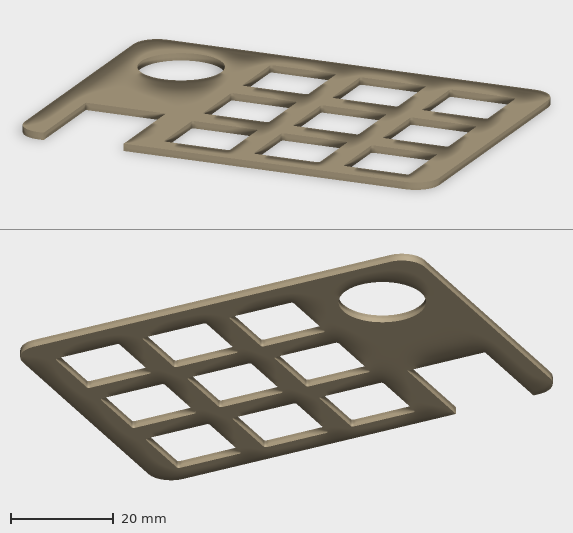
import cadquery as cq

plate_length = 88.0
plate_width = 63.0
plate_thickness = 1.5
plate_corner_radius = 5.0

window_size = 14.0
window_corner_radius = 0.5
window_pitch = 19.05
window_columns = 3
window_rows = 3
grid_center_x = 11.75
grid_center_y = -1.015

knob_diameter = 17.04
knob_center_x = -29.825
knob_center_y = 17.065

notch_width = 17.0
notch_depth = 20.565
notch_center_x = -29.32


def make_plate():
    """Flat plate centred on the origin, with rounded corners."""
    return (
        cq.Workplane("XY")
        .box(plate_length, plate_width, plate_thickness)
        .edges("|Z")
        .fillet(plate_corner_radius)
    )


def make_windows():
    """Cutters for the grid of key windows, with slightly rounded corners."""
    return (
        cq.Workplane("XY")
        .center(grid_center_x, grid_center_y)
        .rarray(window_pitch, window_pitch, window_columns, window_rows)
        .box(window_size, window_size, plate_thickness)
        .edges("|Z")
        .fillet(window_corner_radius)
    )


def make_knob_opening():
    """Cutter for the round through hole."""
    return (
        cq.Workplane("XY")
        .center(knob_center_x, knob_center_y)
        .circle(knob_diameter / 2)
        .extrude(plate_thickness / 2, both=True)
    )


def make_notch():
    """Cutter for the notch, reaching inward from the front edge."""
    notch_center_y = (notch_depth - plate_width) / 2
    return (
        cq.Workplane("XY")
        .center(notch_center_x, notch_center_y)
        .box(notch_width, notch_depth, plate_thickness)
    )


result = (
    make_plate()
    .cut(make_windows())
    .cut(make_knob_opening())
    .cut(make_notch())
)